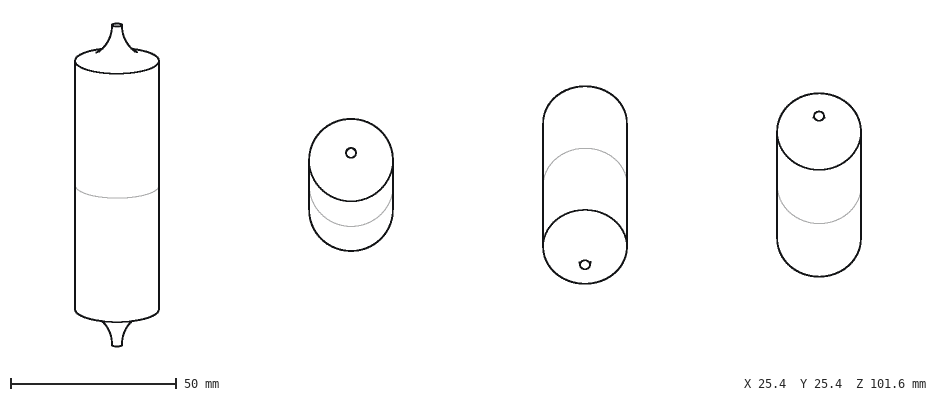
import cadquery as cq
import math

total_length = 101.6
body_diameter = 25.4
body_length = 78.8
tip_diameter = 3.0

body_radius = body_diameter / 2
tip_radius = tip_diameter / 2
body_half = body_length / 2
half_length = total_length / 2
flare_radius = body_radius - tip_radius
flare_end = body_half + flare_radius

arc_offset = flare_radius * (1 - math.sqrt(0.5))
arc_mid_radius = tip_radius + arc_offset
arc_mid_height = body_half + arc_offset

upper_half = (
    cq.Workplane("XZ")
    .lineTo(body_radius, 0)
    .lineTo(body_radius, body_half)
    .threePointArc((arc_mid_radius, arc_mid_height), (tip_radius, flare_end))
    .lineTo(tip_radius, half_length)
    .lineTo(0, half_length)
    .close()
    .revolve(360, (0, 0, 0), (0, 1, 0))
)

result = upper_half.union(upper_half.mirror("XY")).clean()